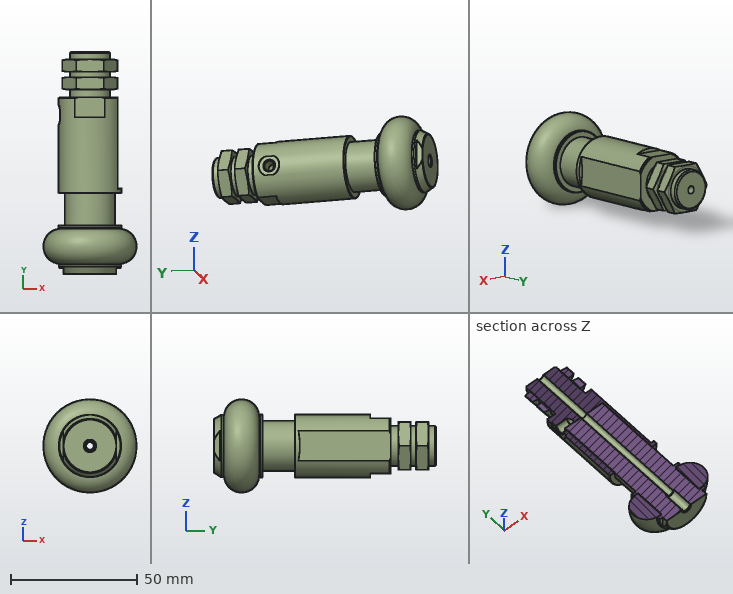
import cadquery as cq
import math


shaft_diameter = 20.0
nose_diameter = 24.8
nose_cylinder_length = 1.0
nose_taper_angle = 30.0
nose_flat_width = 21.0
nose_flat_length = 2.4
nose_rear_chamfer = 0.2
nose_edge_length = 0.2
nose_edge_width = 0.3
collar_diameter = 25.0
collar_thickness = 1.4
collar_chamfer = 0.3

bumper_diameter = 37.0
bumper_width = 14.0
bumper_start = 4.0
bumper_end = bumper_start + bumper_width
bumper_round_radius = bumper_width / 2
bumper_round_centre = bumper_diameter / 2 - bumper_round_radius

housing_diameter = 25.0
housing_front = 32.0
housing_length = 38.0
housing_rear = housing_front + housing_length
housing_front_chamfer = 0.25
housing_rear_chamfer = 0.5
wrench_flat_width = 22.0
wrench_flat_length = 8.0
bore_end = housing_rear - wrench_flat_length
stud_diameter = 16.0
stud_length = 18.0
stud_end = housing_rear + stud_length
stud_chamfer = 0.6

side_flat_offset = 11.0
lip_edge_height = 1.5
lip_middle_height = 2.05

port_setback = 7.0
port_seat_diameter = 8.5
port_seat_depth = 0.6
port_end_depth = 6.5
drill_point_angle = 118.0

tap_drill_diameter = 4.13
tap_mouth_diameter = 5.0
front_tap_depth = 10.0
passage_diameter = 3.0

nut_across_flats = 19.0
nut_thickness = 5.0
nut_spacing = 7.0
first_nut_gap = 3.0
nut_count = 2
nut_chamfer_angle = 12.0
nut_face_diameter = 18.5

housing_radius = housing_diameter / 2


def turned(points):
    """Revolve a closed outline of (radius, y) points about the Y axis."""
    return cq.Workplane("XY").polyline(points).close().revolve(360, (0, 0), (0, 1))


def rod(diameter, start, end):
    """Solid cylinder along Y from start to end."""
    return cq.Workplane("XZ", origin=(0, start, 0)).circle(diameter / 2).extrude(start - end)


def block(x_range, y_range, z_range):
    """Axis-aligned box between the given limits."""
    sizes = [high - low for low, high in (x_range, y_range, z_range)]
    corner = (x_range[0], y_range[0], z_range[0])
    return cq.Workplane("XY", origin=corner).box(*sizes, centered=False)


def make_plunger():
    taper_length = bumper_start - nose_cylinder_length
    taper_slope = math.tan(math.radians(nose_taper_angle))
    tip_radius = nose_diameter / 2 - taper_length * taper_slope
    shaft_radius = shaft_diameter / 2
    collar_radius = collar_diameter / 2
    collar_end = bumper_end + collar_thickness
    plunger = turned([
        (0, 0),
        (tip_radius - nose_edge_width, 0),
        (tip_radius + nose_edge_length * taper_slope, nose_edge_length),
        (nose_diameter / 2, taper_length),
        (nose_diameter / 2, bumper_start - nose_rear_chamfer),
        (nose_diameter / 2 - nose_rear_chamfer, bumper_start),
        (shaft_radius, bumper_start),
        (shaft_radius, bumper_end),
        (collar_radius - collar_chamfer, bumper_end),
        (collar_radius, bumper_end + collar_chamfer),
        (collar_radius, collar_end - collar_chamfer),
        (collar_radius - collar_chamfer, collar_end),
        (shaft_radius, collar_end),
        (shaft_radius, bore_end),
        (0, bore_end),
    ])

    half_flat = nose_flat_width / 2
    for side in (-1, 1):
        x_range = sorted((side * half_flat, side * nose_diameter))
        plunger = plunger.cut(block(x_range, (0, nose_flat_length), (-nose_diameter, nose_diameter)))

    tap_radius = tap_drill_diameter / 2
    mouth_radius = tap_mouth_diameter / 2
    front_tap = turned([
        (0, 0),
        (mouth_radius, 0),
        (tap_radius, mouth_radius - tap_radius),
        (tap_radius, front_tap_depth),
        (0, front_tap_depth),
    ])
    return plunger.cut(front_tap).cut(rod(passage_diameter, 0, bore_end))


def make_bumper():
    """Ring seated between the nose and the collar, with a half-round outer side."""
    return (
        cq.Workplane("XY")
        .moveTo(shaft_diameter / 2, bumper_start)
        .lineTo(bumper_round_centre, bumper_start)
        .threePointArc(
            (bumper_diameter / 2, bumper_start + bumper_round_radius),
            (bumper_round_centre, bumper_end),
        )
        .lineTo(shaft_diameter / 2, bumper_end)
        .close()
        .revolve(360, (0, 0), (0, 1))
    )


def wrench_flat_cuts():
    """Material removed for the two flats at the rear of the housing."""
    x_range = (-housing_radius, housing_radius)
    y_range = (bore_end, housing_rear)
    half_flat = wrench_flat_width / 2
    upper = block(x_range, y_range, (half_flat, housing_radius))
    return upper.union(upper.mirror("XY"))


def side_flat_cut():
    """Material removed for the +X flat; its front end follows the bowed edge of the lip."""
    half_chord = math.sqrt(housing_radius**2 - side_flat_offset**2)
    edge_y = housing_front + lip_edge_height
    middle_y = housing_front + lip_middle_height
    return (
        cq.Workplane("YZ", origin=(side_flat_offset, 0, 0))
        .moveTo(edge_y, -half_chord)
        .threePointArc((middle_y, 0), (edge_y, half_chord))
        .lineTo(housing_rear, half_chord)
        .lineTo(housing_rear, -half_chord)
        .close()
        .extrude(housing_radius - side_flat_offset)
    )


def side_port_cut():
    """Round seat, chamfered tapped hole and drill point, entering from -X."""
    port_y = housing_rear - port_setback
    tap_radius = tap_drill_diameter / 2
    mouth_radius = tap_mouth_diameter / 2
    mouth_depth = port_seat_depth + mouth_radius - tap_radius
    point_length = tap_radius / math.tan(math.radians(drill_point_angle / 2))
    return (
        cq.Workplane("XY", origin=(-housing_radius, port_y, 0))
        .polyline([
            (0, 0),
            (0, port_seat_diameter / 2),
            (port_seat_depth, port_seat_diameter / 2),
            (port_seat_depth, mouth_radius),
            (mouth_depth, tap_radius),
            (port_end_depth, tap_radius),
            (port_end_depth + point_length, 0),
        ])
        .close()
        .revolve(360, (0, 0), (1, 0))
    )


def make_housing():
    stud_radius = stud_diameter / 2
    housing = turned([
        (0, housing_front),
        (housing_radius - housing_front_chamfer, housing_front),
        (housing_radius, housing_front + housing_front_chamfer),
        (housing_radius, housing_rear - housing_rear_chamfer),
        (housing_radius - housing_rear_chamfer, housing_rear),
        (stud_radius, housing_rear),
        (stud_radius, stud_end - stud_chamfer),
        (stud_radius - stud_chamfer, stud_end),
        (0, stud_end),
    ])
    return (
        housing.cut(wrench_flat_cuts())
        .cut(side_flat_cut())
        .cut(side_port_cut())
        .cut(rod(shaft_diameter, housing_front, bore_end))
        .cut(rod(passage_diameter, bore_end, stud_end))
    )


def make_nut(start):
    """Hexagon nut with corners on the X axis and both faces chamfered."""
    corner_radius = nut_across_flats / math.sqrt(3)
    face_radius = nut_face_diameter / 2
    chamfer_length = (corner_radius - face_radius) * math.tan(math.radians(nut_chamfer_angle))
    end = start + nut_thickness
    hexagon = (
        cq.Workplane("XZ", origin=(0, start, 0))
        .polygon(6, 2 * corner_radius)
        .extrude(-nut_thickness)
    )
    chamfer_envelope = turned([
        (0, start),
        (face_radius, start),
        (corner_radius, start + chamfer_length),
        (corner_radius, end - chamfer_length),
        (face_radius, end),
        (0, end),
    ])
    return hexagon.intersect(chamfer_envelope).cut(rod(stud_diameter, start, end))


plunger = make_plunger()
bumper = make_bumper()
housing = make_housing()
nuts = [make_nut(housing_rear + first_nut_gap + index * nut_spacing) for index in range(nut_count)]

result = cq.Compound.makeCompound([
    plunger.val(),
    bumper.val(),
    housing.val(),
    *[nut.val() for nut in nuts],
])